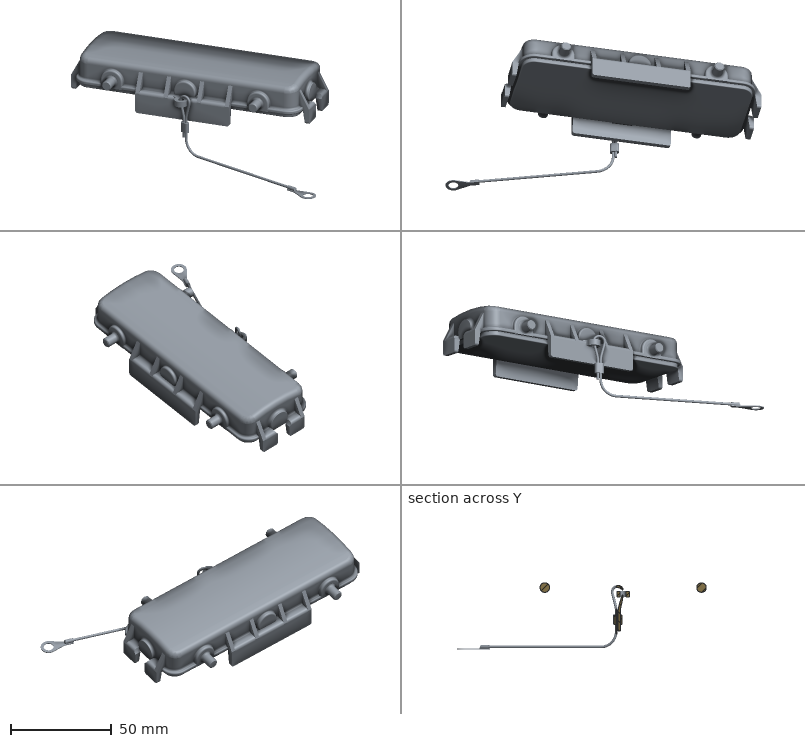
import cadquery as cq
import math

WALL_X = 58.0
WALL_Y = 19.8
WALL_CORNER = 5.8
CROWN_TOP = 17.5
CROWN_RADIUS = 81.5
CROWN_FILLET = 2.9

FLANGE_OUT = 1.9
FLANGE_BOTTOM = 2.2
FLANGE_TOP = 4.1
FLANGE_ROUND = 0.7
FLANGE_ROOT_FILLET = 1.0
RIM_OUT = 0.3
LOWER_EDGE_ROUND = 0.5

SKIRT_OUT = 5.1
SKIRT_ROUND = 1.6
SKIRT_CORNER = 1.2
SKIRT_TIP_THICKNESS = 2.2
RIB_WIDTH = 2.2
RIB_TOP = 12.5
RIB_FOOT = 3.0
SIDE_SKIRT_HALF = 24.9
SIDE_SKIRT_BOTTOM = -7.4
INNER_RIB_START = 7.7
END_SKIRT_START = 3.8
END_SKIRT_END = 13.7
END_SKIRT_BOTTOM = -4.8

BOSS_Z = 6.0
BOSS_DEPTH = 1.9
SIDE_BOSS_RADIUS = 5.8
SIDE_BOSS_ROOT_FILLET = 0.6
SIDE_BOSS_EDGE_ROUND = 0.9
END_BOSS_RADIUS = 11.0 / 2
END_BOSS_ROOT_FILLET = 1.3
END_BOSS_EDGE_ROUND = 0.3
PEG_X = 38.8
PEG_TIP_Y = 28.2
PEG_RADIUS = 5.0 / 2
PEG_ROOT_RADIUS = 6.5 / 2
PEG_FLARE_RADIUS = 1.3
PEG_CHAMFER = 0.5

EYE_Y = -26.5
EYE_RADIUS = 6.5 / 2
EYE_HOLE_RADIUS = 3.0 / 2
EYE_TOP = FLANGE_TOP
EYE_THICKNESS = 2.9
EYE_FLARE = 1.7
EYE_FLARE_Y = EYE_Y + 0.6

CORD_DIRECTION = math.radians(-19.8)
CORD_RADIUS = 0.65
STRAND_OFFSET = 0.7
LOOP_CENTRE = 2.8
LOOP_RADIUS = 2.84
LOOP_TILT = math.radians(15)
STRANDS_PART_Z = -6.3
STRANDS_SPREAD_HEIGHT = 3.0
STUB_END_Z = -15.5
BEND_RADIUS = 8.0

SLEEVE_TOP = -7.4
SLEEVE_BOTTOM = -12.5
SLEEVE_WIDTH = 4.7
SLEEVE_THICKNESS = 2.5
LUG_DISTANCE = 83.4
LUG_RADIUS = 4.0
LUG_HOLE_RADIUS = 5.0 / 2
LUG_THICKNESS = 0.5
LUG_TAPER = math.radians(20)
LUG_NECK = 8.0
BARREL_START = 12.8
BARREL_SLOPE_START = 8.7
BARREL_RADIUS = 2.0 / 2
CORD_END = 9.6

CORD_RUN_Z = STUB_END_Z - BEND_RADIUS
LUG_BOTTOM = CORD_RUN_Z - BARREL_RADIUS - LUG_THICKNESS / 2


def rounded_slab(outset, bottom, top):
    """Slab with the wall outline grown by an outset."""
    slab = cq.Workplane("XY", origin=(0, 0, bottom))
    slab = slab.rect(2 * (WALL_X + outset), 2 * (WALL_Y + outset)).extrude(top - bottom)
    return slab.edges("|Z").fillet(WALL_CORNER + outset)


def crowned_shell():
    """Solid cover with a crowned top, rounded top edge, flange and rim."""
    crown = (
        cq.Workplane("YZ", origin=(-2 * WALL_X, 0, 0))
        .center(0, CROWN_TOP - CROWN_RADIUS)
        .circle(CROWN_RADIUS)
        .extrude(4 * WALL_X)
    )
    shell = rounded_slab(0, FLANGE_BOTTOM, CROWN_TOP + 1.5).intersect(crown)
    shell = shell.faces(">Z").edges().fillet(CROWN_FILLET)
    flange = rounded_slab(FLANGE_OUT, FLANGE_BOTTOM, FLANGE_TOP)
    flange = flange.faces(">Z").edges().fillet(FLANGE_ROUND)
    flange = flange.faces("<Z").edges().fillet(LOWER_EDGE_ROUND)
    shell = shell.union(flange)
    root_edge = cq.selectors.NearestToPointSelector((0, WALL_Y, FLANGE_TOP))
    shell = shell.edges(root_edge).fillet(FLANGE_ROOT_FILLET)
    rim = rounded_slab(RIM_OUT, 0, FLANGE_BOTTOM)
    return shell.union(rim.faces("<Z").edges().fillet(LOWER_EDGE_ROUND))


def skirt(wall, start, end, bottom):
    """Skirt hanging outside a +Y wall between two X positions."""
    outer = wall + SKIRT_OUT
    round_start = outer - SKIRT_ROUND
    round_end_z = FLANGE_TOP - SKIRT_ROUND
    plate = (
        cq.Workplane("YZ", origin=(start, 0, 0))
        .moveTo(wall, FLANGE_TOP)
        .lineTo(round_start, FLANGE_TOP)
        .radiusArc((outer, round_end_z), SKIRT_ROUND)
        .lineTo(outer, bottom)
        .lineTo(outer - SKIRT_TIP_THICKNESS, bottom)
        .lineTo(wall + FLANGE_OUT, FLANGE_BOTTOM)
        .lineTo(wall, FLANGE_BOTTOM)
        .close()
        .extrude(end - start)
    )
    return plate.faces("<Z").edges("|Y").fillet(SKIRT_CORNER)


def rib(wall, start):
    """Sloped rib from a +Y wall down to the outer face of its skirt."""
    outer = wall + SKIRT_OUT
    profile = [(wall, RIB_TOP), (outer, RIB_FOOT), (outer, FLANGE_BOTTOM), (wall, FLANGE_BOTTOM)]
    return cq.Workplane("YZ", origin=(start, 0, 0)).polyline(profile).close().extrude(RIB_WIDTH)


def boss_profile(plane, radius, root_fillet, edge_round):
    """Half section of a boss: local X is the distance from its axis, local Y points out of the wall."""
    return (
        plane.lineTo(radius + root_fillet, 0)
        .radiusArc((radius, root_fillet), root_fillet)
        .lineTo(radius, BOSS_DEPTH - edge_round)
        .radiusArc((radius - edge_round, BOSS_DEPTH), -edge_round)
        .lineTo(0, BOSS_DEPTH)
        .close()
    )


def boss(wall, x, radius, root_fillet, edge_round):
    """Round boss on a +Y wall, cut off level with the flange underside."""
    plane = cq.Workplane("XY", origin=(x, wall, BOSS_Z))
    disc = boss_profile(plane, radius, root_fillet, edge_round).revolve(360, (0, 0, 0), (0, 1, 0))
    above_underside = cq.Workplane("XY", origin=(x, wall, FLANGE_BOTTOM)).box(
        4 * radius, 4 * BOSS_DEPTH, 4 * radius, centered=(True, True, False)
    )
    return disc.intersect(above_underside)


def side_boss(x):
    """Round boss of the kind used along the long walls."""
    return boss(WALL_Y, x, SIDE_BOSS_RADIUS, SIDE_BOSS_ROOT_FILLET, SIDE_BOSS_EDGE_ROUND)


def peg_boss_leg(x):
    """Straight part that carries a peg boss down to the flange underside."""
    plane = cq.Workplane("XY", origin=(x, WALL_Y, FLANGE_BOTTOM))
    section = boss_profile(plane, SIDE_BOSS_RADIUS, SIDE_BOSS_ROOT_FILLET, SIDE_BOSS_EDGE_ROUND)
    half = section.extrude(BOSS_Z - FLANGE_BOTTOM)
    return half.union(half.mirror("YZ", (x, 0, 0)))


def peg(x):
    """Peg with a flared root and a chamfered tip."""
    root_y = WALL_Y + BOSS_DEPTH
    flare_end_y = root_y + PEG_FLARE_RADIUS
    return (
        cq.Workplane("XY", origin=(x, 0, BOSS_Z))
        .moveTo(0, root_y)
        .lineTo(PEG_ROOT_RADIUS, root_y)
        .radiusArc((PEG_RADIUS, flare_end_y), PEG_FLARE_RADIUS)
        .lineTo(PEG_RADIUS, PEG_TIP_Y - PEG_CHAMFER)
        .lineTo(PEG_RADIUS - PEG_CHAMFER, PEG_TIP_Y)
        .lineTo(0, PEG_TIP_Y)
        .close()
        .revolve(360, (0, 0, 0), (0, 1, 0))
    )


def side_features():
    """Everything on the long +Y wall."""
    parts = [
        skirt(WALL_Y, -SIDE_SKIRT_HALF, SIDE_SKIRT_HALF, SIDE_SKIRT_BOTTOM),
        side_boss(0),
    ]
    for start in (INNER_RIB_START, SIDE_SKIRT_HALF - RIB_WIDTH):
        parts.append(rib(WALL_Y, start))
        parts.append(rib(WALL_Y, -start - RIB_WIDTH))
    for x in (-PEG_X, PEG_X):
        parts.append(side_boss(x))
        parts.append(peg_boss_leg(x))
        parts.append(peg(x))
    return parts


def end_features():
    """Everything on a short wall, laid out as on a +Y wall."""
    boss_face = cq.Workplane("XZ", origin=(0, WALL_X + BOSS_DEPTH, BOSS_Z))
    clearance = boss_face.circle(END_BOSS_RADIUS).extrude(-SKIRT_OUT)
    parts = [boss(WALL_X, 0, END_BOSS_RADIUS, END_BOSS_ROOT_FILLET, END_BOSS_EDGE_ROUND)]
    for start in (END_SKIRT_START, -END_SKIRT_END):
        end = start + END_SKIRT_END - END_SKIRT_START
        parts.append(skirt(WALL_X, start, end, END_SKIRT_BOTTOM).cut(clearance))
    for start in (END_SKIRT_END - RIB_WIDTH, -END_SKIRT_END):
        parts.append(rib(WALL_X, start))
    return parts


def eye():
    """Flared tab on the -Y skirt with a hole for the cord."""
    root_x = EYE_RADIUS + EYE_FLARE
    inside_y = -WALL_Y
    return (
        cq.Workplane("XY", origin=(0, 0, EYE_TOP - EYE_THICKNESS))
        .moveTo(-root_x, inside_y)
        .lineTo(-root_x, EYE_FLARE_Y + EYE_FLARE)
        .radiusArc((-EYE_RADIUS, EYE_FLARE_Y), EYE_FLARE)
        .lineTo(-EYE_RADIUS, EYE_Y)
        .threePointArc((0, EYE_Y - EYE_RADIUS), (EYE_RADIUS, EYE_Y))
        .lineTo(EYE_RADIUS, EYE_FLARE_Y)
        .radiusArc((root_x, EYE_FLARE_Y + EYE_FLARE), EYE_FLARE)
        .lineTo(root_x, inside_y)
        .close()
        .extrude(EYE_THICKNESS)
    )


def make_cover():
    """Cover with its skirts, ribs, bosses, pegs and cord eye, all one solid."""
    cover = crowned_shell()
    for angle in (0, 180):
        for part in side_features():
            cover = cover.union(part.rotate((0, 0, 0), (0, 0, 1), angle))
    for angle in (90, -90):
        for part in end_features():
            cover = cover.union(part.rotate((0, 0, 0), (0, 0, 1), angle))
    cover = cover.union(eye())
    hole = cq.Workplane("XY", origin=(0, EYE_Y, EYE_TOP)).circle(EYE_HOLE_RADIUS).extrude(-EYE_THICKNESS)
    return cover.cut(hole)


along = (math.cos(CORD_DIRECTION), math.sin(CORD_DIRECTION), 0)
across = (math.sin(CORD_DIRECTION), -math.cos(CORD_DIRECTION), 0)


def upright_plane(distance):
    """Plane of the cord, its local Y pointing up."""
    origin = (distance * along[0], EYE_Y + distance * along[1], 0)
    return cq.Workplane(cq.Plane(origin=origin, xDir=along, normal=across))


def level_plane(distance, z):
    """Level plane centred at a distance along the cord."""
    origin = (distance * along[0], EYE_Y + distance * along[1], z)
    return cq.Workplane(cq.Plane(origin=origin, xDir=along, normal=(0, 0, 1)))


def make_cord():
    """Cord: short stub, loop through the eye, back down beside the stub, bend and long run."""
    spread_radius = STRANDS_SPREAD_HEIGHT / math.sin(LOOP_TILT)
    spread_x = STRAND_OFFSET + spread_radius * (1 - math.cos(LOOP_TILT))
    spread_z = STRANDS_PART_Z + STRANDS_SPREAD_HEIGHT
    loop_x = LOOP_RADIUS * math.cos(LOOP_TILT)
    loop_z = spread_z + (loop_x - spread_x) / math.tan(LOOP_TILT)
    loop_top = loop_z + LOOP_RADIUS * (1 + math.sin(LOOP_TILT))
    run_end = LUG_DISTANCE - CORD_END - LOOP_CENTRE
    path = (
        upright_plane(LOOP_CENTRE)
        .moveTo(-STRAND_OFFSET, STUB_END_Z)
        .lineTo(-STRAND_OFFSET, STRANDS_PART_Z)
        .radiusArc((-spread_x, spread_z), -spread_radius)
        .lineTo(-loop_x, loop_z)
        .threePointArc((0, loop_top), (loop_x, loop_z))
        .lineTo(spread_x, spread_z)
        .radiusArc((STRAND_OFFSET, STRANDS_PART_Z), -spread_radius)
        .lineTo(STRAND_OFFSET, STUB_END_Z)
        .radiusArc((STRAND_OFFSET + BEND_RADIUS, CORD_RUN_Z), -BEND_RADIUS)
        .lineTo(run_end, CORD_RUN_Z)
    )
    section = level_plane(LOOP_CENTRE - STRAND_OFFSET, STUB_END_Z).circle(CORD_RADIUS)
    return section.sweep(path)


def make_sleeve(cord):
    """Flat-sided crimp sleeve round both strands."""
    body = level_plane(LOOP_CENTRE, SLEEVE_BOTTOM).slot2D(SLEEVE_WIDTH, SLEEVE_THICKNESS)
    return body.extrude(SLEEVE_TOP - SLEEVE_BOTTOM).cut(cord)


def make_lug(cord):
    """Ring lug: drop-shaped plate with a crimp barrel on the cord end."""
    tangent_x = -LUG_RADIUS * math.sin(LUG_TAPER)
    tangent_y = LUG_RADIUS * math.cos(LUG_TAPER)
    neck_y = tangent_y - (LUG_NECK + tangent_x) * math.tan(LUG_TAPER)
    plate = (
        level_plane(LUG_DISTANCE, LUG_BOTTOM)
        .moveTo(-BARREL_START, -neck_y)
        .lineTo(-LUG_NECK, -neck_y)
        .lineTo(tangent_x, -tangent_y)
        .threePointArc((LUG_RADIUS, 0), (tangent_x, tangent_y))
        .lineTo(-LUG_NECK, neck_y)
        .lineTo(-BARREL_START, neck_y)
        .close()
        .extrude(LUG_THICKNESS)
    )
    hole = level_plane(LUG_DISTANCE, LUG_BOTTOM).circle(LUG_HOLE_RADIUS).extrude(LUG_THICKNESS)
    barrel_top = CORD_RUN_Z + BARREL_RADIUS
    side = [
        (-BARREL_START, LUG_BOTTOM),
        (-BARREL_START, barrel_top),
        (-BARREL_SLOPE_START, barrel_top),
        (-LUG_NECK, LUG_BOTTOM),
    ]
    sloped = upright_plane(LUG_DISTANCE).polyline(side).close().extrude(BARREL_RADIUS, both=True)
    barrel_origin = upright_plane(LUG_DISTANCE - BARREL_START).plane.toWorldCoords((0, CORD_RUN_Z, 0))
    barrel = cq.Workplane(cq.Plane(origin=barrel_origin, xDir=across, normal=along))
    barrel = barrel.circle(BARREL_RADIUS).extrude(BARREL_START - LUG_NECK).intersect(sloped)
    return plate.cut(hole).union(barrel).cut(cord)


cover = make_cover()
cord = make_cord()
sleeve = make_sleeve(cord)
lug = make_lug(cord)

result = cq.Compound.makeCompound(
    [
        cover.solids().val(),
        cord.val(),
        sleeve.solids().val(),
        lug.solids().val(),
    ]
)